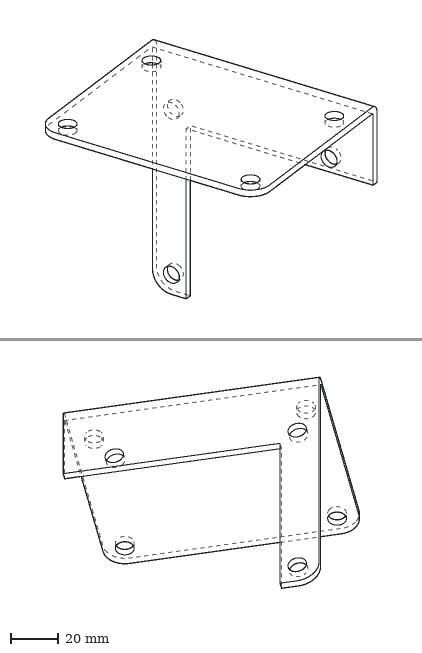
import cadquery as cq

width = 111.1
depth = 95.2
height = 120.6
thickness = 3.3
inner_bend_radius = 0.7
outer_bend_radius = inner_bend_radius + thickness

arm_width = 17.0
flange_height = 38.1

corner_radius = 9.5
hole_diameter = 8.0
plate_hole_pitch_y = 66.6
leg_hole_pitch = 79.4

left = -width / 2
front = -depth / 2
back = depth / 2
bottom = -height / 2
top = height / 2

left_hole_x = left + corner_radius
right_hole_x = width / 2 - corner_radius
front_hole_y = front + corner_radius
low_hole_z = bottom + corner_radius
high_hole_z = low_hole_z + leg_hole_pitch


def bent_sheet():
    """Full-width L-shaped sheet with a rounded bend along the back top edge."""
    sheet = (
        cq.Workplane("YZ", origin=(left, 0, 0))
        .moveTo(front, top)
        .lineTo(back, top)
        .lineTo(back, bottom)
        .lineTo(back - thickness, bottom)
        .lineTo(back - thickness, top - thickness)
        .lineTo(front, top - thickness)
        .close()
        .extrude(width)
    )
    sheet = sheet.edges("|X and >Y and >Z").fillet(outer_bend_radius)
    inner_edge = cq.selectors.NearestToPointSelector((0, back - thickness, top - thickness))
    return sheet.edges(inner_edge).fillet(inner_bend_radius)


def leg_cutout():
    """Block that leaves a narrow arm below the flange on the left side."""
    return cq.Workplane("XY").box(
        width - arm_width, depth, height - flange_height, centered=False
    ).translate((left + arm_width, front, bottom))


def holes(plane, centers):
    """Cylinders centred on the plane, long enough to pass through one sheet."""
    return plane.pushPoints(centers).circle(hole_diameter / 2).extrude(2 * thickness, both=True)


plate_hole_centers = [
    (x, y)
    for x in (left_hole_x, right_hole_x)
    for y in (front_hole_y, front_hole_y + plate_hole_pitch_y)
]
leg_hole_centers = [
    (left_hole_x, low_hole_z),
    (left_hole_x, high_hole_z),
    (left_hole_x + leg_hole_pitch, high_hole_z),
]

result = bent_sheet().cut(leg_cutout())
result = result.edges("|Z and <Y").fillet(corner_radius)
result = result.edges("|Y and <X and <Z").fillet(corner_radius)
result = result.cut(holes(cq.Workplane("XY", origin=(0, 0, top)), plate_hole_centers))
result = result.cut(holes(cq.Workplane("XZ", origin=(0, back, 0)), leg_hole_centers))